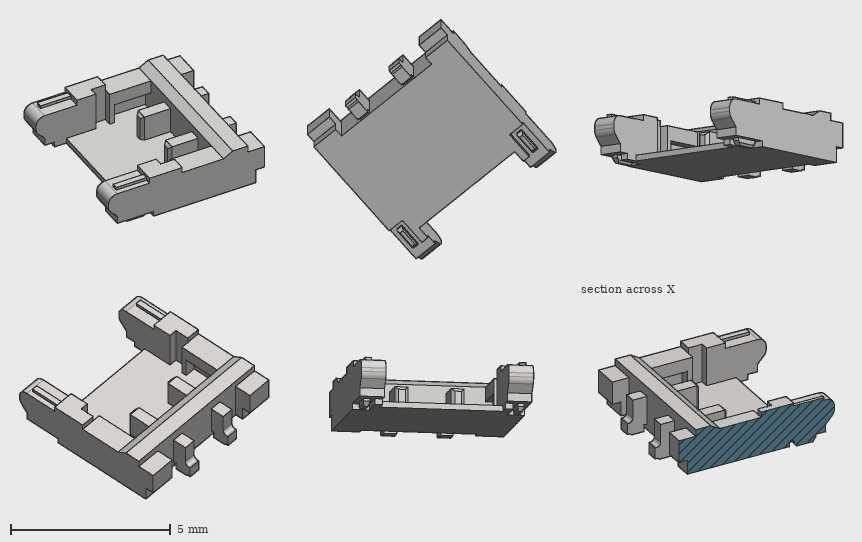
import cadquery as cq
import math


width = 5.5
half_width = width / 2
arm_width = 0.785
arm_inner_x = half_width - arm_width
floor_thickness = 0.185
floor_front_y = 1.085
arm_top_z = 1.345
housing_top_z = 1.535

wall_front_y = 4.13
wall_rear_y = 5.0
slope_top_y = 4.46

ear_width = 0.9
ear_rear_y = 5.6
ear_base_rear_y = 5.29
ear_bottom_z = 0.5
ear_top_z = 1.3

tip_radius = 0.305
tip_flat_bottom_z = 0.915
tip_undercut_angle = math.radians(42)
arm_foot_y = 0.315

block_front_y = 1.47
block_rear_y = 2.645
notch_depth = 0.285
notch_length = 0.5

recess_depth = 0.375
recess_top_z = 0.88
post_length = 0.18

relief_rear_y = 1.62
inner_foot_front_y = 0.665
inner_foot_width = 0.245

tab_width = 0.2
tab_x = 2.465
rail_front_y = 0.38
rail_height = 0.1
solder_z = -0.05
solder_foot_end_slope = 0.11
solder_foot_end_rise = 0.145
solder_foot_side_slope = 0.04
solder_foot_side_rise = 0.08

contact_width = 0.41
contact_pitch = 1.795
contact_front_y = 3.09
contact_top_z = 1.085
contact_chamfer = 0.1
leg_rear_y = 5.5
leg_top_z = 1.19
leg_front_y = 5.1
toe_rear_y = 5.7
toe_top_z = 0.4
heel_radius = 0.15
toe_step_y = 5.6
toe_step_length = 0.05


def box(x_range, y_range, z_range):
    """Axis-aligned box between pairs of coordinates."""
    size = [high - low for low, high in (x_range, y_range, z_range)]
    corner = (x_range[0], y_range[0], z_range[0])
    return cq.Workplane("XY").box(*size, centered=False).translate(corner)


def side_sketch(center_x, thickness):
    """YZ workplane from which a profile extrudes to a plate centred on center_x."""
    return cq.Workplane("YZ", origin=(center_x - thickness / 2, 0, 0))


def mirrored_pair(solid):
    """The solid together with its reflection across the YZ plane."""
    return solid.union(solid.mirror("YZ"))


def make_rear_wall():
    """Full-width rear wall, its shoulder sloping down to the arm tops."""
    profile = (
        side_sketch(0, width)
        .moveTo(wall_front_y, 0)
        .lineTo(wall_rear_y, 0)
        .lineTo(wall_rear_y, housing_top_z)
        .lineTo(slope_top_y, housing_top_z)
        .lineTo(wall_front_y, arm_top_z)
        .close()
    )
    return profile.extrude(width)


def make_arm():
    """Right-hand arm with rounded tip, raised block, notch, lip recess and underside relief."""
    half_angle = tip_undercut_angle / 2
    undercut_y = tip_radius * (1 - math.cos(tip_undercut_angle))
    undercut_z = tip_flat_bottom_z - tip_radius * math.sin(tip_undercut_angle)
    undercut_mid_y = tip_radius * (1 - math.cos(half_angle))
    undercut_mid_z = tip_flat_bottom_z - tip_radius * math.sin(half_angle)
    foot_top_z = undercut_z - (arm_foot_y - undercut_y) / math.tan(tip_undercut_angle)
    nose_mid = tip_radius * (1 - math.sqrt(0.5))
    arm = (
        side_sketch(half_width - arm_width / 2, arm_width)
        .moveTo(wall_front_y, 0)
        .lineTo(wall_front_y, arm_top_z)
        .lineTo(block_rear_y, arm_top_z)
        .lineTo(block_rear_y, housing_top_z)
        .lineTo(block_front_y, housing_top_z)
        .lineTo(block_front_y, arm_top_z)
        .lineTo(tip_radius, arm_top_z)
        .threePointArc((nose_mid, arm_top_z - nose_mid), (0, arm_top_z - tip_radius))
        .lineTo(0, tip_flat_bottom_z)
        .threePointArc((undercut_mid_y, undercut_mid_z), (undercut_y, undercut_z))
        .lineTo(arm_foot_y, foot_top_z)
        .lineTo(arm_foot_y, floor_thickness)
        .lineTo(inner_foot_front_y, floor_thickness)
        .lineTo(inner_foot_front_y, 0)
        .close()
        .extrude(arm_width)
    )
    notch = box(
        (arm_inner_x, arm_inner_x + notch_depth),
        (block_rear_y - notch_length, block_rear_y),
        (floor_thickness, housing_top_z),
    )
    recess = box(
        (arm_inner_x, arm_inner_x + recess_depth),
        (block_rear_y + post_length, wall_front_y),
        (floor_thickness, recess_top_z),
    )
    relief = box(
        (arm_inner_x + inner_foot_width, half_width),
        (inner_foot_front_y, relief_rear_y),
        (0, floor_thickness),
    )
    return arm.cut(notch).cut(recess).cut(relief)


def make_ear():
    """Right-hand rear ear, overhanging its shorter base."""
    x_range = (half_width - ear_width, half_width)
    upper = box(x_range, (wall_rear_y, ear_rear_y), (ear_bottom_z, ear_top_z))
    base = box(x_range, (wall_rear_y, ear_base_rear_y), (0, ear_bottom_z))
    return upper.union(base)


def make_rail():
    """Narrow rail on top of the right-hand arm."""
    x_range = (tab_x - tab_width / 2, tab_x + tab_width / 2)
    return box(x_range, (rail_front_y, block_front_y), (arm_top_z, arm_top_z + rail_height))


def make_solder_foot():
    """Solder foot in the right-hand relief, its lower edges bevelled on all sides."""
    length = block_front_y - inner_foot_front_y
    bevelled_length = length - 2 * solder_foot_end_slope
    bevelled_width = tab_width - 2 * solder_foot_side_slope
    center_y = inner_foot_front_y + length / 2
    height = floor_thickness - solder_z
    side_view = (
        side_sketch(tab_x, tab_width)
        .moveTo(center_y - length / 2, floor_thickness)
        .lineTo(center_y + length / 2, floor_thickness)
        .lineTo(center_y + length / 2, solder_z + solder_foot_end_rise)
        .lineTo(center_y + bevelled_length / 2, solder_z)
        .lineTo(center_y - bevelled_length / 2, solder_z)
        .lineTo(center_y - length / 2, solder_z + solder_foot_end_rise)
        .close()
        .extrude(tab_width)
    )
    cross_section = (
        cq.Workplane("XZ", origin=(tab_x, center_y + length / 2, solder_z))
        .moveTo(-bevelled_width / 2, 0)
        .lineTo(bevelled_width / 2, 0)
        .lineTo(tab_width / 2, solder_foot_side_rise)
        .lineTo(tab_width / 2, height)
        .lineTo(-tab_width / 2, height)
        .lineTo(-tab_width / 2, solder_foot_side_rise)
        .close()
        .extrude(length)
    )
    return side_view.intersect(cross_section)


def make_contact():
    """Right-hand contact: bevelled blade through the rear wall, ending in a leg with a solder toe."""
    center_x = contact_pitch / 2
    blade = (
        box(
            (center_x - contact_width / 2, center_x + contact_width / 2),
            (contact_front_y, wall_rear_y),
            (floor_thickness, contact_top_z),
        )
        .faces("<Y")
        .edges("|X and >Z or |Z")
        .chamfer(contact_chamfer)
    )
    heel_mid = heel_radius * (1 - math.sqrt(0.5))
    leg = (
        side_sketch(center_x, contact_width)
        .moveTo(wall_rear_y, leg_top_z)
        .lineTo(leg_rear_y, leg_top_z)
        .lineTo(leg_rear_y, toe_top_z + heel_radius)
        .threePointArc(
            (leg_rear_y + heel_mid, toe_top_z + heel_mid),
            (leg_rear_y + heel_radius, toe_top_z),
        )
        .lineTo(toe_rear_y, toe_top_z)
        .lineTo(toe_rear_y, 0)
        .lineTo(toe_step_y, 0)
        .lineTo(toe_step_y - toe_step_length, solder_z)
        .lineTo(leg_front_y, solder_z)
        .lineTo(leg_front_y, floor_thickness)
        .lineTo(wall_rear_y, floor_thickness)
        .close()
        .extrude(contact_width)
    )
    return blade.union(leg)


floor = box((-arm_inner_x, arm_inner_x), (floor_front_y, wall_front_y), (0, floor_thickness))
result = make_rear_wall().union(floor)
for make_side_feature in (make_arm, make_ear, make_rail, make_solder_foot, make_contact):
    result = result.union(mirrored_pair(make_side_feature()))